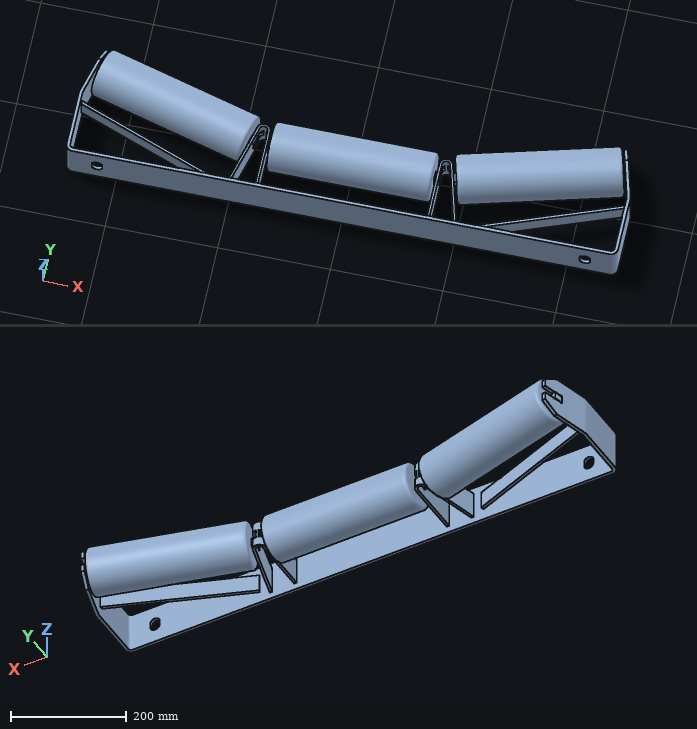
import cadquery as cq
import math

frame_thickness = 7.0
frame_width = 80.0
frame_length = 980.0
corner_radius = 13.0
tilt = 15.0
bend_height = 117.0
bend_radius = 24.0
axis_above_bend = 69.0
ear_above_axis = 32.0
ear_chamfer_length = 29.0
ear_chamfer_width = 18.0
mounting_slot_width = 19.0
mounting_slot_height = 25.0
mounting_slot_x = 433.0

roller_diameter = 89.0
roller_length = 290.0
rim_radius = 6.0
carrier_span = 310.0
tang_width = 15.0
tang_height = 18.0
tang_overhang = 1.0
middle_roller_y = 101.0

bracket_thickness = 5.0
bracket_width = 53.0
bracket_top = 128.0

strut_thickness = 6.0
strut_width = 34.0
strut_tilt = 20.5
strut_foot_x = 223.0

half_length = frame_length / 2
sine = math.sin(math.radians(tilt))
cosine = math.cos(math.radians(tilt))
side_roller_x = half_length - axis_above_bend * sine - carrier_span / 2 * cosine
side_roller_y = bend_height + axis_above_bend * cosine - carrier_span / 2 * sine


def mirrored(body):
    """Copy of a right-hand body, reflected to the left."""
    return body.mirror("YZ")


def at_side_roller(body):
    """Move a body from the origin to the tilted axis of the right-hand roller."""
    return body.rotate((0, 0, 0), (0, 0, 1), tilt).translate((side_roller_x, side_roller_y, 0))


def at_middle_roller(body):
    return body.translate((0, middle_roller_y, 0))


def shaft_slots():
    """Cutter along X that fits a shaft's two tangs and is open above them."""
    return (
        cq.Workplane()
        .box(carrier_span + frame_thickness, roller_diameter, tang_width, centered=(True, False, True))
        .translate((0, -tang_height / 2, 0))
    )


def make_roller():
    """Drum with rounded rims on a shaft, whose ends are rectangular tangs."""
    drum = (
        cq.Workplane("YZ", origin=(-roller_length / 2, 0, 0))
        .circle(roller_diameter / 2)
        .extrude(roller_length)
    )
    drum = drum.edges("%CIRCLE").fillet(rim_radius)
    return drum.union(cq.Workplane().box(carrier_span + 2 * tang_overhang, tang_height, tang_width))


def ear_corners():
    """Cutter for the two corners of the right-hand ear, placed about the roller axis."""
    tip = ear_above_axis
    edge = frame_width / 2
    corner = (
        cq.Workplane("YZ")
        .moveTo(tip - ear_chamfer_length, edge)
        .lineTo(tip, edge)
        .lineTo(tip, edge - ear_chamfer_width)
        .close()
        .extrude(carrier_span)
    )
    return corner.union(corner.mirror("XY"))


def rounded(body, x, y, radius):
    """Round the body's edge along Z that stands at (x, y)."""
    reach = 1.0
    edge_box = cq.selectors.BoxSelector((x - reach, y - reach, -reach), (x + reach, y + reach, reach))
    return body.edges(edge_box).fillet(radius)


def make_right_half_frame():
    ear_length = axis_above_bend + ear_above_axis
    tip_x = half_length - ear_length * sine
    tip_y = bend_height + ear_length * cosine
    inner_x = half_length - frame_thickness
    inner_bend_y = bend_height - frame_thickness * math.tan(math.radians(tilt / 2))
    half = (
        cq.Workplane()
        .moveTo(0, 0)
        .lineTo(half_length, 0)
        .lineTo(half_length, bend_height)
        .lineTo(tip_x, tip_y)
        .lineTo(tip_x - frame_thickness * cosine, tip_y - frame_thickness * sine)
        .lineTo(inner_x, inner_bend_y)
        .lineTo(inner_x, frame_thickness)
        .lineTo(0, frame_thickness)
        .close()
        .extrude(frame_width / 2, both=True)
    )
    half = rounded(half, half_length, 0, corner_radius)
    half = rounded(half, inner_x, frame_thickness, corner_radius - frame_thickness)
    half = rounded(half, half_length, bend_height, bend_radius)
    half = rounded(half, inner_x, inner_bend_y, bend_radius - frame_thickness)

    mounting_slot = (
        cq.Workplane("XZ", origin=(mounting_slot_x, frame_thickness, 0))
        .slot2D(mounting_slot_height, mounting_slot_width, 90)
        .extrude(frame_thickness)
    )
    half = half.cut(mounting_slot)
    half = half.cut(at_side_roller(ear_corners()))
    return half.cut(at_side_roller(shaft_slots()))


def make_frame():
    """One strip bent into the base, the two walls and the two ears."""
    right_half = make_right_half_frame()
    return right_half.union(mirrored(right_half))


def make_bracket():
    """Strip bent over into an upright leg and a leg that leans out to carry the side roller."""
    upright_x = carrier_span / 2
    leaning_reach = side_roller_x * cosine + side_roller_y * sine - carrier_span / 2
    inside_radius = (
        leaning_reach - upright_x * cosine - (bracket_top - bracket_thickness) * sine
    ) / (1 + cosine - sine)
    outside_radius = inside_radius + bracket_thickness
    center_x = upright_x + inside_radius
    center_y = bracket_top - outside_radius

    def on_bend(radius):
        """Where the bend's arc of this radius runs into the leaning leg."""
        return (center_x + radius * cosine, center_y + radius * sine)

    def leaning_foot(radius):
        bend_end_x, bend_end_y = on_bend(radius)
        return (bend_end_x + (bend_end_y - frame_thickness) * sine / cosine, frame_thickness)

    bracket = (
        cq.Workplane()
        .moveTo(upright_x - bracket_thickness, frame_thickness)
        .lineTo(upright_x - bracket_thickness, center_y)
        .threePointArc((center_x, bracket_top), on_bend(outside_radius))
        .lineTo(*leaning_foot(outside_radius))
        .lineTo(*leaning_foot(inside_radius))
        .lineTo(*on_bend(inside_radius))
        .threePointArc((center_x, bracket_top - bracket_thickness), (upright_x, center_y))
        .lineTo(upright_x, frame_thickness)
        .close()
        .extrude(bracket_width / 2, both=True)
    )
    return bracket.cut(at_middle_roller(shaft_slots())).cut(at_side_roller(shaft_slots()))


def make_strut():
    """Flat bar from the base up to the wall, square at its foot and flush with the wall on top."""
    wall_x = half_length - frame_thickness
    strut_sine = math.sin(math.radians(strut_tilt))
    strut_cosine = math.cos(math.radians(strut_tilt))
    heel_x = strut_foot_x - strut_thickness * strut_sine
    heel_y = frame_thickness + strut_thickness * strut_cosine
    slope = strut_sine / strut_cosine
    return (
        cq.Workplane()
        .moveTo(strut_foot_x, frame_thickness)
        .lineTo(wall_x, frame_thickness + (wall_x - strut_foot_x) * slope)
        .lineTo(wall_x, heel_y + (wall_x - heel_x) * slope)
        .lineTo(heel_x, heel_y)
        .close()
        .extrude(strut_width / 2, both=True)
    )


frame = make_frame()
bracket = make_bracket()
strut = make_strut()
middle_roller = at_middle_roller(make_roller())
side_roller = at_side_roller(make_roller())

bodies = [frame.val(), middle_roller.val()]
for right_body in (bracket, strut, side_roller):
    bodies.append(right_body.val())
    bodies.append(mirrored(right_body).val())

result = cq.Compound.makeCompound(bodies)